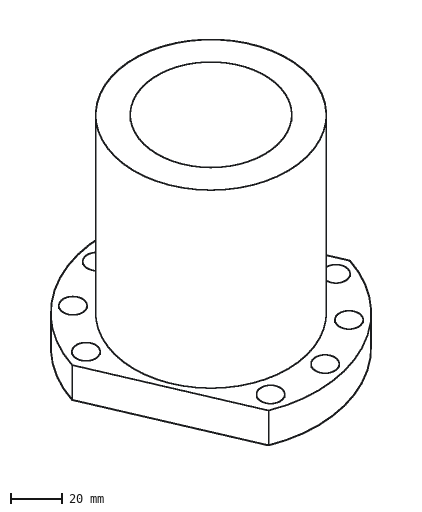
import cadquery as cq

flange_diameter = 125.0
flange_width = 95.0
flange_thickness = 18.0

overall_height = 120.0
barrel_diameter = 90.0
bore_diameter = 63.0

bolt_hole_diameter = 11.0
bolt_circle_diameter = 108.0
bolt_hole_spacing = 30.0
holes_per_end = 4
end_directions = (0.0, 180.0)


def make_flange():
    disc = cq.Workplane("XY").circle(flange_diameter / 2).extrude(flange_thickness)
    flats = cq.Workplane("XY").rect(flange_diameter, flange_width).extrude(flange_thickness)
    return disc.intersect(flats)


def make_barrel():
    return cq.Workplane("XY").circle(barrel_diameter / 2).extrude(overall_height)


def make_bore():
    return cq.Workplane("XY").circle(bore_diameter / 2).extrude(overall_height)


def make_bolt_holes(end_direction):
    """Through holes centred about one rounded end of the flange."""
    spread = bolt_hole_spacing * (holes_per_end - 1)
    return (
        cq.Workplane("XY")
        .polarArray(bolt_circle_diameter / 2, end_direction - spread / 2, spread, holes_per_end)
        .circle(bolt_hole_diameter / 2)
        .extrude(flange_thickness)
    )


result = make_flange().union(make_barrel()).cut(make_bore())
for direction in end_directions:
    result = result.cut(make_bolt_holes(direction))